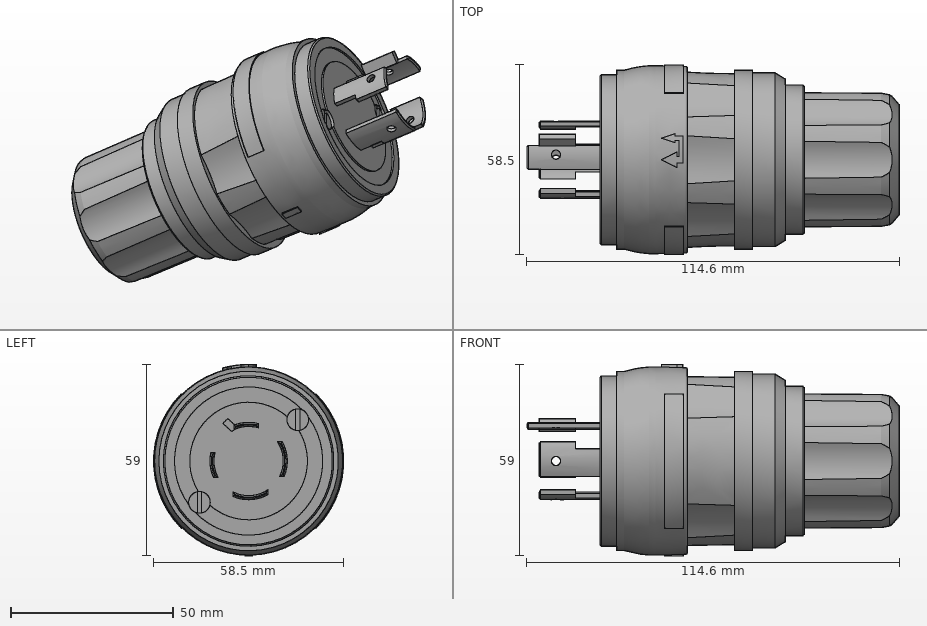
import cadquery as cq
import math


rim_end = 5.2
dome_start = 7.6
dome_end = 15.2
dome_crown_end = 17.2
collar_end = 26.9
waist_end = 41.3
ring_end = 47.0
nose_chamfer_start = 53.8
nose_end = 57.0
neck_end = 63.0
grip_round_start = 86.6
grip_bevel_start = 89.1
grip_end = 92.1

rim_radius = 26.2
ring_radius = 27.6
dome_radius = 29.0
dome_mid_radius = 28.5
collar_radius = 28.7
waist_front_radius = 27.0
waist_rear_radius = 26.6
nose_radius = 26.8
nose_end_radius = 24.8
neck_radius = 23.0
grip_front_radius = 21.4
grip_rear_radius = 21.2
grip_bevel_radius = 20.4
grip_end_radius = 17.0

rim_chamfer = 0.5
collar_fillet = 0.6
neck_chamfer = 0.6

flute_half_angle = 15
flute_depth = 1.8
waist_flute_angles = (-45, 0, 45, 135, 180, 225)
grip_flute_count = 8

pad_start = 19.9
pad_end = 25.7
pad_radius = 58.5 / 2
pad_half_angle = 45
bottom_bar_width = 2.3
arrow_radius = 59.4 / 2

groove_inner_radius = 18.1
groove_outer_radius = 22.8
groove_depth = 0.6
screw_y = 15.1
screw_z = 12.7
screw_radius = 3.3
screw_recess_depth = 0.9
screw_slot_width = 1.3
screw_slot_depth = 0.7

blade_inner_radius = 10.6
blade_outer_radius = 11.9
blade_tip = -18.7
ground_blade_tip = -22.5
hook_end = -7.5
blade_hole_x = -13.5
blade_hole_diameter = 2.7
blade_chamfer = 0.5
blade_root = 1.1


def x_cylinder(radius, start, end):
    return cq.Workplane("YZ").workplane(offset=start).circle(radius).extrude(end - start)


def x_tube(inner, outer, start, end):
    profile = cq.Workplane("YZ").workplane(offset=start).circle(outer).circle(inner)
    return profile.extrude(end - start)


def turn(shape, angle):
    return shape.rotate((0, 0, 0), (1, 0, 0), angle)


def make_body():
    profile = (
        cq.Workplane("XY")
        .moveTo(0, 0)
        .lineTo(0, rim_radius - rim_chamfer)
        .lineTo(rim_chamfer, rim_radius)
        .lineTo(rim_end, rim_radius)
        .lineTo(rim_end, ring_radius)
        .lineTo(dome_start, ring_radius)
        .threePointArc(((dome_start + dome_end) / 2, dome_mid_radius), (dome_end, dome_radius))
        .lineTo(dome_crown_end, dome_radius)
        .lineTo(collar_end - collar_fillet, collar_radius)
        .radiusArc((collar_end, collar_radius - collar_fillet), collar_fillet)
        .lineTo(collar_end, waist_front_radius)
        .lineTo(waist_end, waist_rear_radius)
        .lineTo(waist_end, ring_radius)
        .lineTo(ring_end, ring_radius)
        .lineTo(ring_end, nose_radius)
        .lineTo(nose_chamfer_start, nose_radius)
        .lineTo(nose_end, nose_end_radius)
        .lineTo(nose_end, neck_radius)
        .lineTo(neck_end - neck_chamfer, neck_radius)
        .lineTo(neck_end, neck_radius - neck_chamfer)
        .lineTo(neck_end, grip_front_radius)
        .lineTo(grip_round_start, grip_rear_radius)
        .lineTo(grip_bevel_start, grip_bevel_radius)
        .lineTo(grip_end, grip_end_radius)
        .lineTo(grip_end, 0)
        .close()
    )
    return profile.revolve(360, (0, 0, 0), (1, 0, 0))


def flute_cutter(surface_radius, start, end):
    """Cylinder along X that scoops a concave flute out of the top of a round surface."""
    half_angle = math.radians(flute_half_angle)
    half_width = surface_radius * math.sin(half_angle)
    floor_radius = surface_radius - flute_depth
    sagitta = surface_radius * math.cos(half_angle) - floor_radius
    scoop_radius = (half_width**2 + sagitta**2) / (2 * sagitta)
    return x_cylinder(scoop_radius, start, end).translate((0, 0, floor_radius + scoop_radius))


def cut_flutes(body):
    waist_radius = (waist_front_radius + waist_rear_radius) / 2
    waist_flute = flute_cutter(waist_radius, collar_end, waist_end)
    for angle in waist_flute_angles:
        body = body.cut(turn(waist_flute, angle))
    grip_radius = (grip_front_radius + grip_rear_radius) / 2
    grip_flute = flute_cutter(grip_radius, neck_end, grip_end)
    for index in range(grip_flute_count):
        body = body.cut(turn(grip_flute, index * 360 / grip_flute_count))
    return body


def side_pad():
    """Raised band on the collar spanning pad_half_angle each way from +Y."""
    reach = 2 * pad_radius
    spread = reach * math.tan(math.radians(pad_half_angle))
    wedge = (
        cq.Workplane("YZ")
        .workplane(offset=pad_start)
        .polyline([(0, 0), (reach, -spread), (reach, spread)])
        .close()
        .extrude(pad_end - pad_start)
    )
    return x_tube(waist_rear_radius, pad_radius, pad_start, pad_end).intersect(wedge)


def arrow_mark():
    """Raised pair of arrows joined by a bar, on top of the collar."""
    tip_x = 18.9
    large_base_x = 23.7
    large_half_width = 2.4
    stem_half_width = 1.0
    small_y = 6.6
    small_base_x = 23.1
    small_half_width = 1.4
    small_stem_half_width = 0.7
    bar_x = 24.3
    end_x = 25.5
    outline = [
        (tip_x, 0),
        (large_base_x, -large_half_width),
        (large_base_x, -stem_half_width),
        (end_x, -stem_half_width),
        (end_x, small_y + small_stem_half_width),
        (small_base_x, small_y + small_stem_half_width),
        (small_base_x, small_y + small_half_width),
        (tip_x, small_y),
        (small_base_x, small_y - small_half_width),
        (small_base_x, small_y - small_stem_half_width),
        (bar_x, small_y - small_stem_half_width),
        (bar_x, stem_half_width),
        (large_base_x, stem_half_width),
        (large_base_x, large_half_width),
    ]
    prism = cq.Workplane("XY").polyline(outline).close().extrude(2 * arrow_radius)
    shell = x_tube(waist_rear_radius, arrow_radius, dome_crown_end, collar_end)
    return prism.intersect(shell)


def bottom_bar():
    """Narrow raised bar at the bottom of the collar, as high as the side pads."""
    length = pad_end - pad_start
    bar = cq.Workplane("XY").box(length, bottom_bar_width, 2 * pad_radius, centered=(False, True, False))
    bar = bar.translate((pad_start, 0, -2 * pad_radius))
    return x_tube(waist_rear_radius, pad_radius, pad_start, pad_end).intersect(bar)


def front_groove():
    return x_tube(groove_inner_radius, groove_outer_radius, 0, groove_depth)


def screw_recess(y, z):
    """Pocket whose floor is the screw head, with an upright driver slot in that floor."""
    pocket = x_cylinder(screw_radius, 0, screw_recess_depth)
    slot = x_cylinder(screw_radius, 0, screw_recess_depth + screw_slot_depth)
    slot = slot.intersect(cq.Workplane("XY").box(2 * screw_radius, screw_slot_width, 2 * screw_radius))
    return pocket.union(slot).translate((0, y, z))


def span_box(start, end, low, high):
    """Box on the -Y side of the axis that reaches from low to high along Z."""
    size = (end - start, 2 * blade_outer_radius, high - low)
    box = cq.Workplane("XY").box(*size, centered=False)
    return box.translate((start, -2 * blade_outer_radius, low))


def blade(tip, low, high):
    """Curved strip on the -Y side, from low to high along Z, with a bevelled tip."""
    strip = x_tube(blade_inner_radius, blade_outer_radius, tip, blade_root)
    strip = strip.intersect(span_box(tip, blade_root, low, high))
    return strip.faces("<X").chamfer(blade_chamfer)


def blade_hole(z):
    hole = cq.Workplane("XZ").circle(blade_hole_diameter / 2).extrude(2 * blade_outer_radius)
    return hole.translate((blade_hole_x, 0, z))


def hooked_blade(low, stem_high, head_high):
    """Blade whose head, in front of hook_end, is wider than its stem on the +Z edge."""
    step = span_box(hook_end, 0, stem_high, 2 * head_high)
    return blade(blade_tip, low, head_high).cut(step).cut(blade_hole(0))


def ground_blade():
    """Longer blade with a straight bent-out hook on its +Z edge."""
    blade_low = -3.0
    blade_high = 4.5
    hole_z = 1.6
    hook_outline = [(-10.1, 3.9), (-9.0, 5.2), (-11.6, 7.9), (-13.0, 6.4), (-11.0, 4.1)]
    hook = (
        cq.Workplane("YZ")
        .workplane(offset=blade_tip)
        .polyline(hook_outline)
        .close()
        .extrude(hook_end - blade_tip)
    )
    return blade(ground_blade_tip, blade_low, blade_high).union(hook).cut(blade_hole(hole_z))


def make_blades():
    wide = hooked_blade(low=-4.8, stem_high=3.8, head_high=6.0)
    narrow = hooked_blade(low=-2.6, stem_high=3.5, head_high=5.0)
    return [wide, turn(wide, 90), turn(narrow, 180), turn(ground_blade(), -90)]


result = cut_flutes(make_body())

pad = side_pad()
for mark in (pad, turn(pad, 180), arrow_mark(), bottom_bar()):
    result = result.union(mark)

result = result.cut(front_groove())
for side in (-1, 1):
    result = result.cut(screw_recess(side * screw_y, -side * screw_z))

for contact in make_blades():
    result = result.union(contact)